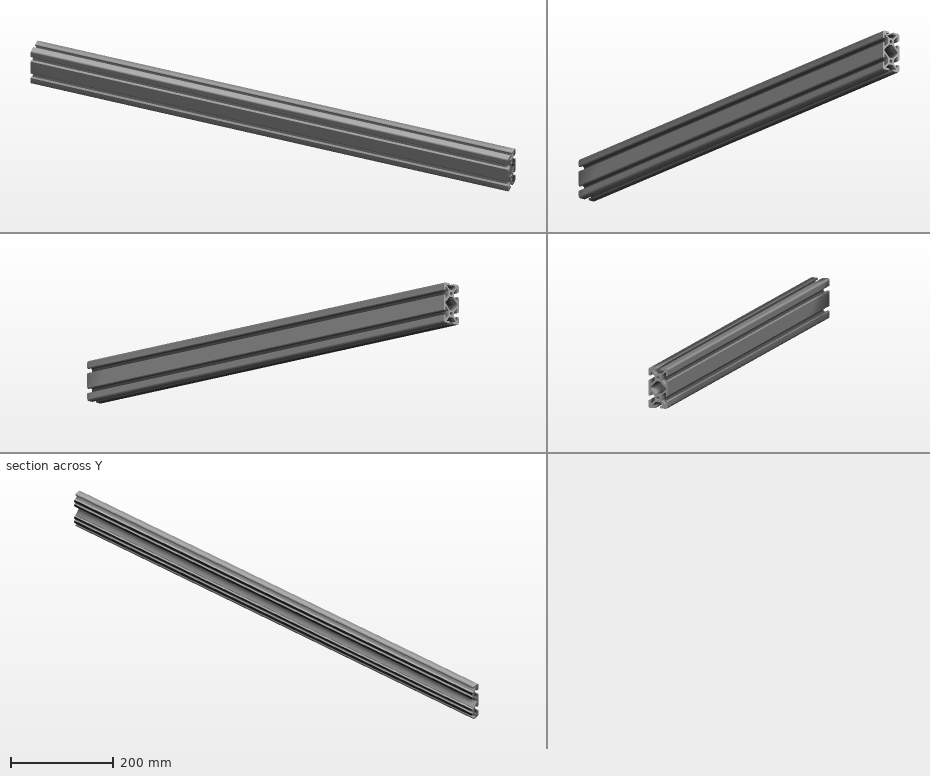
import cadquery as cq

length = 1000.0
cell = 40.0
width = cell
height = 2 * cell
corner_radius = 4.0

slot_opening = 8.5
lip_chamfer = 1.5
lip_thickness = 4.0
core_half = 7.5
corner_block = 8.5
spoke_offset = 2.7

bore_diameter = 6.8

chamber_wall = lip_thickness
chamber_core = 6.7
chamber_flat = 5.0
chamber_side = 2.0

half_cell = cell / 2


def prism(points):
    """Full-length prism from an outline in the YZ plane."""
    return cq.Workplane("YZ").polyline(points).close().extrude(length)


def mirrored_outline(half):
    """Close a half outline by reflecting its points across the first axis."""
    return half + [(u, -v) for u, v in reversed(half)]


def slot_outline():
    """T-slot entering from the +u side of a cell centred on the origin."""
    lip_back = half_cell - lip_thickness
    side = half_cell - corner_block
    return mirrored_outline([
        (half_cell, slot_opening / 2 + lip_chamfer),
        (half_cell - lip_chamfer, slot_opening / 2),
        (lip_back, slot_opening / 2),
        (lip_back, side),
        (side + spoke_offset, side),
        (core_half, core_half - spoke_offset),
    ])


def side_slot(direction, cell_z):
    return prism([(direction * u, cell_z + v) for u, v in slot_outline()])


def end_slot(direction):
    return prism([(v, direction * (half_cell + u)) for u, v in slot_outline()])


def chamber():
    """Hollow between the two cells, with flanks parallel to the spokes."""
    end = half_cell - chamber_core
    side = half_cell - chamber_wall
    flank_end = half_cell - chamber_side - spoke_offset
    right = [
        (chamber_flat, end),
        (chamber_flat, half_cell - chamber_flat - spoke_offset),
        (flank_end, chamber_side),
        (side, chamber_side),
    ]
    right += [(y, -z) for y, z in reversed(right)]
    return prism(right + [(-y, z) for y, z in reversed(right)])


body = cq.Workplane("YZ").rect(width, height).extrude(length)
body = body.edges("|X").fillet(corner_radius)

for direction in (-1, 1):
    body = body.cut(end_slot(direction))
    for cell_z in (-half_cell, half_cell):
        body = body.cut(side_slot(direction, cell_z))

body = body.cut(chamber())

bores = (
    cq.Workplane("YZ")
    .pushPoints([(0, -half_cell), (0, half_cell)])
    .circle(bore_diameter / 2)
    .extrude(length)
)
result = body.cut(bores)